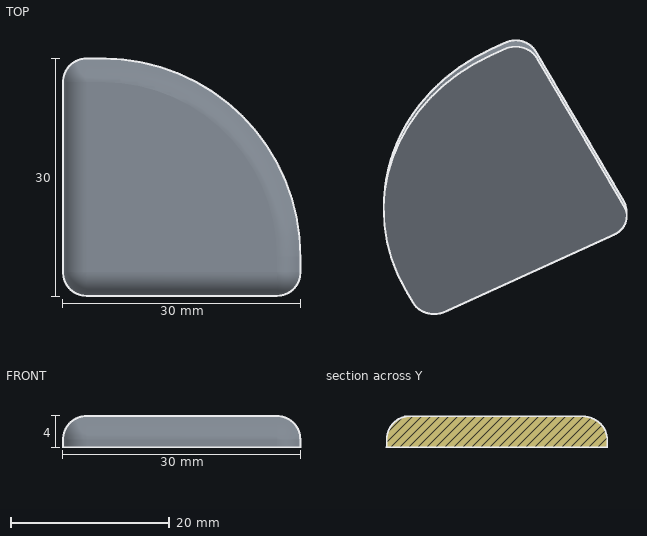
import cadquery as cq

side = 30.0
height = 4.0
rounding = 3.0
arc_radius = 25.0


def quarter_round_plate():
    """Square plate with one large rounded corner at +X +Y."""
    plate = cq.Workplane("XY").box(side, side, height, centered=(True, True, False))
    return plate.edges("|Z and >(1, 1, 0)").fillet(arc_radius)


def round_corners(plate):
    """Round the three remaining square corners in plan."""
    half = side / 2
    for x, y in [(-half, -half), (half, -half), (-half, half)]:
        corner = cq.selectors.NearestToPointSelector((x, y, height / 2))
        plate = plate.edges("|Z").edges(corner).fillet(rounding)
    return plate


def round_top_rim(plate):
    """Roll the whole top outline over; the corners become spherical."""
    return plate.faces(">Z").edges().fillet(rounding)


result = round_top_rim(round_corners(quarter_round_plate()))